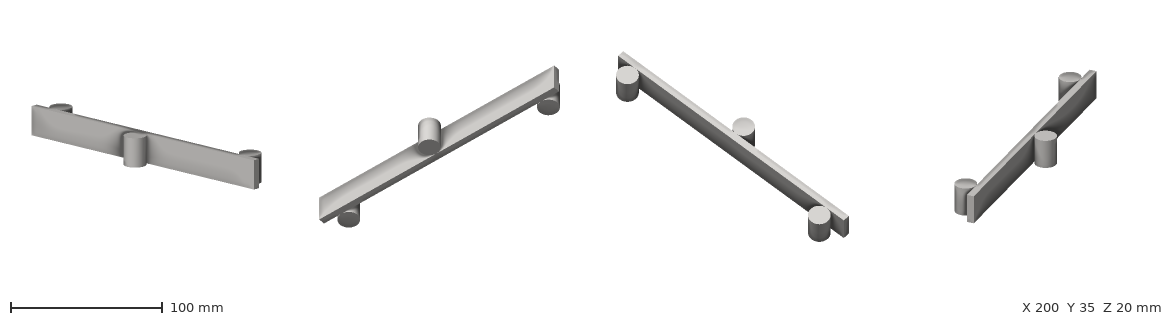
import cadquery as cq

beam_length = 200.0
beam_thickness = 5.0
height = 20.0
roller_diameter = 15.0
support_span = 170.0

roller_offset = (beam_thickness + roller_diameter) / 2


def make_beam():
    """Straight rectangular beam centred on the origin."""
    return cq.Workplane("XY").box(beam_length, beam_thickness, height)


def make_roller(x, y):
    """Upright cylindrical roller with its axis at (x, y)."""
    return cq.Workplane("XY").center(x, y).cylinder(height, roller_diameter / 2)


beam = make_beam()

loading_roller = make_roller(0, -roller_offset)

support_rollers = []
for side in (-1, 1):
    support_rollers.append(make_roller(side * support_span / 2, roller_offset))

result = cq.Compound.makeCompound([
    beam.val(),
    loading_roller.val(),
    *[roller.val() for roller in support_rollers],
])